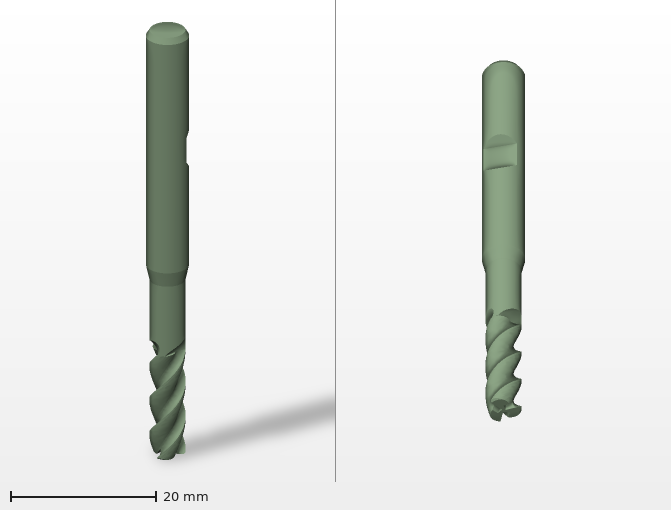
import cadquery as cq
import math

TOTAL_LENGTH = 65
CUTTING_LENGTH = 16.0
NECK_TOP = 26.8
SHANK_BOTTOM = 29.05

SHANK_RADIUS = 3.0
SHANK_CHAMFER_HEIGHT = 0.85
SHANK_CHAMFER_WIDTH = 0.5

FLAT_DEPTH = 1.2
FLAT_LENGTH = 4.15
FLAT_CENTRE_Z = 47.05

TOOTH_COUNT = 3
TOOTH_ANGLE = 360 / TOOTH_COUNT
CUTTING_RADIUS = 2.5
HELIX_ANGLE = 45
HELIX_PITCH = 2 * math.pi * CUTTING_RADIUS / math.tan(math.radians(HELIX_ANGLE))
FIRST_EDGE_ANGLE = 54
LAND_ANGLE = 8
RELIEF_MIDDLE_ANGLE = 48
RELIEF_MIDDLE_RADIUS = 2.15
RELIEF_ANGLE = 83
RELIEF_RADIUS = 1.5
GULLET_ANGLE = 105
GULLET_RADIUS = 1.4

RUNOUT_FLOOR_RADIUS = 1.4
RUNOUT_CUTTER_RADIUS = 1.4
RUNOUT_ANGLE = 75
RUNOUT_TILT = 65
RUNOUT_CUTTER_REACH = 6.5

CORNER_CHAMFER = 0.25
GASH_DEPTH = 1.2
GASH_WIDTH = 0.9
GASH_START_RADIUS = 0.25


def polar(radius, angle):
    """Point in the XY plane from a radius and an angle in degrees."""
    turn = math.radians(angle)
    return radius * math.cos(turn), radius * math.sin(turn)


def helix_turn(z):
    """Angle in degrees that the teeth have turned at height z."""
    return 360 * z / HELIX_PITCH


def fluted_bar():
    """Twisted bar with the tooth section, over the cutting length."""
    section = cq.Workplane("XY").moveTo(*polar(CUTTING_RADIUS, FIRST_EDGE_ANGLE))
    for tooth in range(TOOTH_COUNT):
        edge = FIRST_EDGE_ANGLE + tooth * TOOTH_ANGLE
        section = (
            section
            .threePointArc(polar(CUTTING_RADIUS, edge + LAND_ANGLE / 2), polar(CUTTING_RADIUS, edge + LAND_ANGLE))
            .threePointArc(polar(RELIEF_MIDDLE_RADIUS, edge + RELIEF_MIDDLE_ANGLE),
                           polar(RELIEF_RADIUS, edge + RELIEF_ANGLE))
            .threePointArc(polar(GULLET_RADIUS, edge + GULLET_ANGLE), polar(CUTTING_RADIUS, edge + TOOTH_ANGLE))
        )
    return section.close().twistExtrude(CUTTING_LENGTH, helix_turn(CUTTING_LENGTH))


def shank_blank():
    """Round neck, cone and shank with a chamfered top, turned about Z."""
    outline = [
        (0, CUTTING_LENGTH),
        (CUTTING_RADIUS, CUTTING_LENGTH),
        (CUTTING_RADIUS, NECK_TOP),
        (SHANK_RADIUS, SHANK_BOTTOM),
        (SHANK_RADIUS, TOTAL_LENGTH - SHANK_CHAMFER_HEIGHT),
        (SHANK_RADIUS - SHANK_CHAMFER_WIDTH, TOTAL_LENGTH),
        (0, TOTAL_LENGTH),
    ]
    return cq.Workplane("XZ").polyline(outline).close().revolve(360, (0, 0), (0, 1))


def flute_runout(runout_angle):
    """Round cutter that leaves a flute straight sideways and upward, out of the neck."""
    centre_x, centre_y = polar(RUNOUT_FLOOR_RADIUS + RUNOUT_CUTTER_RADIUS, runout_angle)
    tangent_x, tangent_y = polar(math.sin(math.radians(RUNOUT_TILT)), runout_angle + 90)
    direction = cq.Vector(tangent_x, tangent_y, math.cos(math.radians(RUNOUT_TILT)))
    centre = cq.Vector(centre_x, centre_y, CUTTING_LENGTH)
    start = centre - direction * RUNOUT_CUTTER_REACH
    return cq.Workplane(
        cq.Solid.makeCylinder(RUNOUT_CUTTER_RADIUS, 2 * RUNOUT_CUTTER_REACH, start, direction)
    )


def clamping_flat():
    """Trapezoidal notch across the +Y side of the shank."""
    flat_y = SHANK_RADIUS - FLAT_DEPTH
    half_bottom = FLAT_LENGTH / 2
    half_top = half_bottom + FLAT_DEPTH
    outline = [
        (flat_y, FLAT_CENTRE_Z - half_bottom),
        (SHANK_RADIUS, FLAT_CENTRE_Z - half_top),
        (SHANK_RADIUS, FLAT_CENTRE_Z + half_top),
        (flat_y, FLAT_CENTRE_Z + half_bottom),
    ]
    return cq.Workplane("YZ").polyline(outline).close().extrude(SHANK_RADIUS, both=True)


def corner_chamfer():
    """Ring that bevels the outer corner of the tip at 45 degrees."""
    outline = [
        (CUTTING_RADIUS - 2 * CORNER_CHAMFER, -CORNER_CHAMFER),
        (CUTTING_RADIUS + CORNER_CHAMFER, -CORNER_CHAMFER),
        (CUTTING_RADIUS + CORNER_CHAMFER, 2 * CORNER_CHAMFER),
    ]
    return cq.Workplane("XZ").polyline(outline).close().revolve(360, (0, 0), (0, 1))


def gash(edge_angle):
    """V-shaped notch in the end face, just ahead of one cutting edge."""
    outline = [(0, 0), (0, GASH_DEPTH), (-GASH_WIDTH, 0)]
    return (
        cq.Workplane("YZ").workplane(offset=GASH_START_RADIUS)
        .polyline(outline).close().extrude(CUTTING_RADIUS)
        .rotate((0, 0, 0), (0, 0, 1), edge_angle)
    )


def make_shank():
    shank = shank_blank().cut(clamping_flat())
    first_runout = FIRST_EDGE_ANGLE + helix_turn(CUTTING_LENGTH) + RUNOUT_ANGLE
    for tooth in range(TOOTH_COUNT):
        shank = shank.cut(flute_runout(first_runout + tooth * TOOTH_ANGLE))
    return shank


def make_cutter():
    cutter = fluted_bar().cut(corner_chamfer())
    for tooth in range(TOOTH_COUNT):
        cutter = cutter.cut(gash(FIRST_EDGE_ANGLE + tooth * TOOTH_ANGLE))
    return cutter


shank = make_shank()
cutter = make_cutter()

result = cq.Compound.makeCompound([shank.val(), cutter.val()])